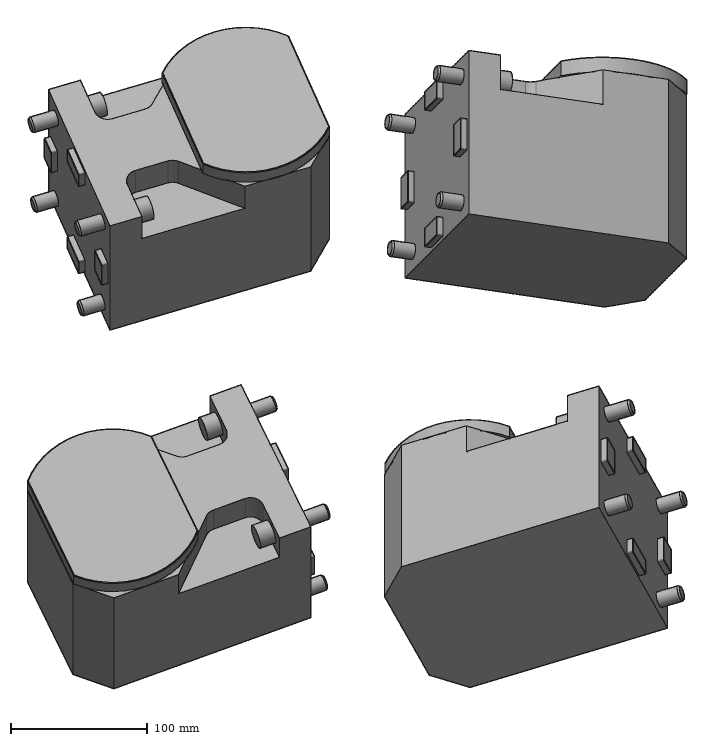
import cadquery as cq
import math

body_width = 132
body_length = 180
body_height = 130
rear_corner_chamfer = 23.0

plate_diameter = 132.5
plate_flat_width = 99.0
plate_thickness = 12
plate_edge_chamfer = 0.5
plate_offset_x = 0.5
plate_center_y = body_length - 50

neck_width = 50
front_wall = 25.0
pocket_depth = 27.5
pocket_rear_y = 105.5
pocket_corner_radius = 10

screw_spacing = 100.2
screw_diameter = 12
screw_tip_chamfer_length = 1.5
screw_tip_chamfer_depth = 1.0
upper_screw_reach = 20
lower_screw_reach = 18
screw_head_diameter = 18
screw_head_length = 12

key_spacing = 108.5
key_length = 25.0
key_width = 15.0
key_height = 5.0
key_edge_chamfer = 0.5
key_corner_radius = 0.8

face_center_z = body_height / 2
pocket_floor_z = body_height - pocket_depth


def make_body():
    """Rectangular block with its two rear vertical edges chamfered."""
    block = cq.Workplane("XY").box(body_width, body_length, body_height, centered=(True, False, False))
    return block.edges("|Z and >Y").chamfer(rear_corner_chamfer)


def make_pocket(side):
    """Side pocket with a 45 degree rear wall; side is -1 for left, +1 for right."""
    outer_x = side * body_width / 2
    neck_x = side * neck_width / 2
    slant_end_y = pocket_rear_y - (body_width - neck_width) / 2
    outline = [
        (outer_x, front_wall),
        (neck_x, front_wall),
        (neck_x, slant_end_y),
        (outer_x, pocket_rear_y),
    ]
    pocket = cq.Workplane("XY").workplane(offset=pocket_floor_z).polyline(outline).close().extrude(pocket_depth)
    inner_corners = pocket.edges("|Z").edges("<X" if side > 0 else ">X")
    return inner_corners.fillet(pocket_corner_radius)


def make_plate():
    """Round plate with two flats and a small chamfer around its top edge."""
    radius = plate_diameter / 2
    flat_y = plate_flat_width / 2
    flat_end_x = math.sqrt(radius**2 - flat_y**2)
    outline = (
        cq.Workplane("XY")
        .moveTo(-flat_end_x, -flat_y)
        .lineTo(flat_end_x, -flat_y)
        .threePointArc((radius, 0), (flat_end_x, flat_y))
        .lineTo(-flat_end_x, flat_y)
        .threePointArc((-radius, 0), (-flat_end_x, -flat_y))
        .close()
    )
    plate = outline.extrude(plate_thickness).faces(">Z").chamfer(plate_edge_chamfer)
    return plate.translate((plate_offset_x, plate_center_y, body_height))


def make_screw_end(x, z, reach):
    """Screw shank standing out of the front face, chamfered at its tip."""
    shank = cq.Workplane("XZ").center(x, z).circle(screw_diameter / 2).extrude(reach)
    return shank.faces("<Y").chamfer(screw_tip_chamfer_length, screw_tip_chamfer_depth)


def make_screw_head(x, z):
    """Cylindrical screw head seated on the rear of the front wall."""
    seat = cq.Workplane("XZ", origin=(0, front_wall, 0))
    return seat.center(x, z).circle(screw_head_diameter / 2).extrude(-screw_head_length)


def make_key(x, z, size_x, size_z):
    """Rectangular key on the front face, with rounded corners, chamfered around its outer face."""
    key = cq.Workplane("XZ").center(x, z).rect(size_x, size_z).extrude(key_height)
    key = key.edges("|Y").fillet(key_corner_radius)
    return key.faces("<Y").chamfer(key_edge_chamfer)


result = make_body().union(make_plate())

for side in (-1, 1):
    screw_x = side * screw_spacing / 2
    upper_z = face_center_z + screw_spacing / 2
    lower_z = face_center_z - screw_spacing / 2
    key_shift = side * key_spacing / 2

    result = result.cut(make_pocket(side))
    result = result.union(make_screw_head(screw_x, upper_z))
    result = result.union(make_screw_end(screw_x, upper_z, upper_screw_reach))
    result = result.union(make_screw_end(screw_x, lower_z, lower_screw_reach))
    result = result.union(make_key(key_shift, face_center_z, key_width, key_length))
    result = result.union(make_key(0, face_center_z + key_shift, key_length, key_width))